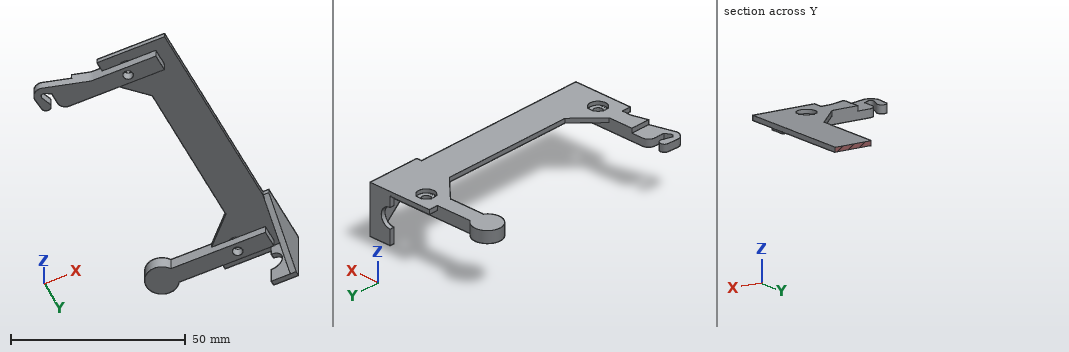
import cadquery as cq
import math

PLATE_THICKNESS = 1.6
HOLE_SPACING = 71.5
HOLE_DIAMETER = 3.0
COUNTERBORE_DIAMETER = 6.0
COUNTERBORE_DEPTH = 1.3
END_MARGIN = 6.1
PLATE_LEFT = -7.0
PLATE_RIGHT = 14.6
STRIP_LEFT = 1.95

ARM_WIDTH = 5.5
ARM_DEPTH = 4.3
ARM_END = 10.2
BALL_DIAMETER = 10.0
BALL_X = -24.18

BRACKET_RIGHT = 16.5
BRACKET_LENGTH = 19.5
BRACKET_HEIGHT = 17.81
WALL_THICKNESS = 1.6
WALL_WIDTH = 8.0
NOTCH_RADIUS = 3.55
NOTCH_DEPTH = 8.8

HOOK_STEP_X = -16.0
HOOK_TIP_RADIUS = 1.5
HOOK_TIP_X = -26.25
HOOK_BEND_RADIUS = 3.0
HOOK_BEND_X = -25.0
HOOK_OVERHANG = 0.57
HOOK_SLOPE = math.radians(15.5)
SLOPE_BLEND_RADIUS = 5.0
SLOT_RIGHT = -22.7
SLOT_FLOOR_SLOPE = math.radians(30)
SLOT_BOTTOM_X = -24.9
SLOT_BOTTOM_Y = -3.6
SLOT_BOTTOM_RADIUS = 1.0
SHOULDER_RADIUS = 2.5

HALF_ARM = ARM_WIDTH / 2
PLATE_FRONT = -END_MARGIN
PLATE_REAR = HOLE_SPACING + END_MARGIN
CORNER_RUN = STRIP_LEFT - PLATE_LEFT
GUSSET_THICKNESS = BRACKET_RIGHT - PLATE_RIGHT
WALL_LEFT = BRACKET_RIGHT - WALL_WIDTH


def block(x_min, x_max, y_min, y_max, depth_top, depth_bottom):
    """Box between two X limits, two Y limits and two depths below the top face."""
    return (
        cq.Workplane("XY", origin=(0, 0, -depth_bottom))
        .moveTo(x_min, y_min)
        .lineTo(x_max, y_min)
        .lineTo(x_max, y_max)
        .lineTo(x_min, y_max)
        .close()
        .extrude(depth_bottom - depth_top)
    )


def direction(start, end):
    """Angle of the line from one point to another."""
    return math.atan2(end[1] - start[1], end[0] - start[0])


def on_circle(centre, radius, angle):
    """Point of a circle at an angle from +X."""
    return (centre[0] + radius * math.cos(angle), centre[1] + radius * math.sin(angle))


def make_plate():
    """C-shaped plate whose two ends narrow at 45 degrees into a strip."""
    outline = [
        (PLATE_LEFT, PLATE_FRONT),
        (PLATE_RIGHT, PLATE_FRONT),
        (PLATE_RIGHT, PLATE_REAR - BRACKET_LENGTH),
        (BRACKET_RIGHT, PLATE_REAR - BRACKET_LENGTH),
        (BRACKET_RIGHT, PLATE_REAR),
        (PLATE_LEFT, PLATE_REAR),
        (PLATE_LEFT, HOLE_SPACING - HALF_ARM),
        (STRIP_LEFT, HOLE_SPACING - HALF_ARM - CORNER_RUN),
        (STRIP_LEFT, HALF_ARM + CORNER_RUN),
        (PLATE_LEFT, HALF_ARM),
    ]
    return cq.Workplane("XY").polyline(outline).close().extrude(-PLATE_THICKNESS)


def make_ball_arm():
    """Rear arm ending in a round pad."""
    arm = block(BALL_X, ARM_END, HOLE_SPACING - HALF_ARM, HOLE_SPACING + HALF_ARM, 0, ARM_DEPTH)
    pad = (
        cq.Workplane("XY")
        .center(BALL_X, HOLE_SPACING)
        .circle(BALL_DIAMETER / 2)
        .extrude(-ARM_DEPTH)
    )
    return arm.union(pad)


def make_hook_arm():
    """Front arm with a sloped lower edge, ending in a thinner hook."""
    bend_y = PLATE_FRONT - HOOK_OVERHANG + HOOK_BEND_RADIUS
    tip = (HOOK_TIP_X, 0)
    bend = (HOOK_BEND_X, bend_y)
    slot = (SLOT_BOTTOM_X, SLOT_BOTTOM_Y)
    slope_start = on_circle(bend, HOOK_BEND_RADIUS, HOOK_SLOPE - math.pi / 2)

    corner_x = slope_start[0] + (-HALF_ARM - slope_start[1]) / math.tan(HOOK_SLOPE)
    blend_run = SLOPE_BLEND_RADIUS * math.tan(HOOK_SLOPE / 2)
    blend_start = (
        corner_x - blend_run * math.cos(HOOK_SLOPE),
        -HALF_ARM - blend_run * math.sin(HOOK_SLOPE),
    )
    blend_end = (corner_x + blend_run, -HALF_ARM)

    outer_angle = direction(tip, bend) - math.acos(
        (HOOK_TIP_RADIUS - HOOK_BEND_RADIUS) / math.dist(tip, bend)
    )
    tip_left = on_circle(tip, HOOK_TIP_RADIUS, outer_angle)
    bend_start = on_circle(bend, HOOK_BEND_RADIUS, outer_angle)
    bend_middle = on_circle(bend, HOOK_BEND_RADIUS, math.radians(225))

    inner_angle = direction(tip, slot) + math.acos(
        (HOOK_TIP_RADIUS + SLOT_BOTTOM_RADIUS) / math.dist(tip, slot)
    )
    tip_right = on_circle(tip, HOOK_TIP_RADIUS, inner_angle)
    tip_top = on_circle(tip, HOOK_TIP_RADIUS, math.pi / 2)
    slot_left = on_circle(slot, SLOT_BOTTOM_RADIUS, inner_angle + math.pi)

    slot_low = on_circle(slot, SLOT_BOTTOM_RADIUS, SLOT_FLOOR_SLOPE - math.pi / 2)
    slot_corner_y = slot_low[1] + (SLOT_RIGHT - slot_low[0]) * math.tan(SLOT_FLOOR_SLOPE)

    profile = (
        cq.Workplane("XY")
        .moveTo(ARM_END, -HALF_ARM)
        .lineTo(ARM_END, HALF_ARM)
        .lineTo(SLOT_RIGHT + SHOULDER_RADIUS, HALF_ARM)
        .radiusArc((SLOT_RIGHT, HALF_ARM - SHOULDER_RADIUS), -SHOULDER_RADIUS)
        .lineTo(SLOT_RIGHT, slot_corner_y)
        .lineTo(*slot_low)
        .radiusArc(slot_left, SLOT_BOTTOM_RADIUS)
        .lineTo(*tip_right)
        .threePointArc(tip_top, tip_left)
        .lineTo(*bend_start)
        .threePointArc(bend_middle, slope_start)
        .lineTo(*blend_start)
        .radiusArc(blend_end, SLOPE_BLEND_RADIUS)
        .close()
    )
    arm = profile.extrude(-ARM_DEPTH)
    hook_left = HOOK_BEND_X - HOOK_BEND_RADIUS
    hook_front = bend_y - HOOK_BEND_RADIUS
    step = block(hook_left, HOOK_STEP_X, hook_front, HALF_ARM, 0, PLATE_THICKNESS)
    return arm.cut(step)


def make_bracket():
    """Notched end wall with a triangular gusset along the outer edge."""
    wall = block(WALL_LEFT, BRACKET_RIGHT, PLATE_REAR - WALL_THICKNESS, PLATE_REAR, 0, BRACKET_HEIGHT)
    notch = (
        cq.Workplane("XZ", origin=(0, PLATE_REAR, 0))
        .center(WALL_LEFT, -NOTCH_DEPTH)
        .circle(NOTCH_RADIUS)
        .extrude(WALL_THICKNESS)
    )
    gusset = (
        cq.Workplane("YZ", origin=(PLATE_RIGHT, 0, 0))
        .moveTo(PLATE_REAR - WALL_THICKNESS, -BRACKET_HEIGHT)
        .lineTo(PLATE_REAR - BRACKET_LENGTH, -PLATE_THICKNESS)
        .lineTo(PLATE_REAR - WALL_THICKNESS, -PLATE_THICKNESS)
        .close()
        .extrude(GUSSET_THICKNESS)
    )
    return wall.cut(notch).union(gusset)


def drill_screw_holes(body):
    """Counterbored screw hole through each end of the plate."""
    for hole_y in (0, HOLE_SPACING):
        top = cq.Workplane("XY").center(0, hole_y)
        body = body.cut(top.circle(HOLE_DIAMETER / 2).extrude(-ARM_DEPTH))
        body = body.cut(top.circle(COUNTERBORE_DIAMETER / 2).extrude(-COUNTERBORE_DEPTH))
    return body


bracket_plate = make_plate().union(make_ball_arm()).union(make_hook_arm()).union(make_bracket())
result = drill_screw_holes(bracket_plate)